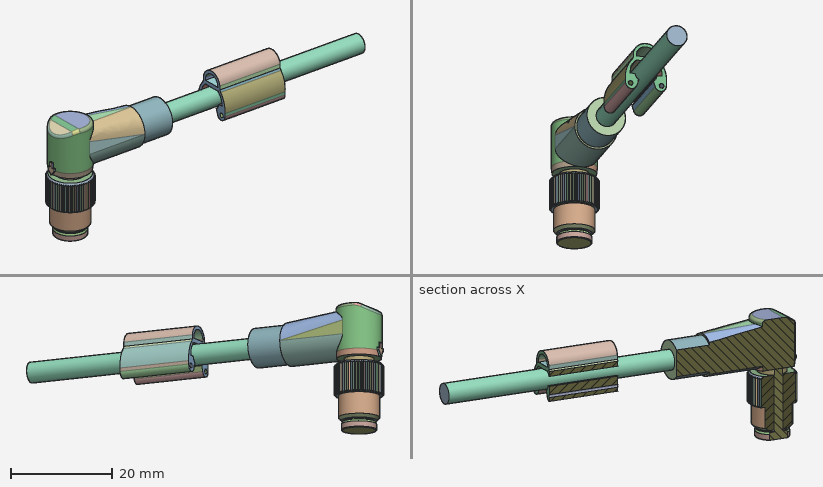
import cadquery as cq
import math


cable_radius = 2.1
knurl_diameter = 9.9
knurl_radius = knurl_diameter / 2
overall_length = 77.75
cable_end_y = overall_length - knurl_radius

elbow_radius = 4.6
elbow_top_z = 6.2
elbow_bottom_z = -4.35
elbow_bottom_radius = 4.4
taper_start_z = -3.2
top_fillet = 0.7
box_reach = 2 * elbow_top_z
slope_start_y = -0.9
slope_blend_radius = 2.8
slope_angle = math.radians(30)
grip_radius = -elbow_bottom_z
grip_end_y = 15.4
grip_elbow_top_z = 5.5
grip_elbow_corner = 2.4
grip_edge_flat = 0.015
sleeve_radius = 4.0
sleeve_end_y = 22.7

arrow_face_y = -4.9
arrow_top_z = -1.55
arrow_neck_z = -2.65
arrow_shoulder_z = -3.2
arrow_shaft_half = 0.4
arrow_head_half = 0.9
arrow_root_y = -3.1

knurl_depth = 0.2
knurl_teeth = 66
knurl_top_chamfer = 0.55
knurl_bottom_chamfer = 0.3
knurl_top_z = -5.45
knurl_bottom_z = -11.9
nut_sleeve_radius = 4.1
nut_sleeve_bottom_z = -16.9
nut_sleeve_chamfer = 0.6

neck_radius = 2.95
collar_top_z = -17.2
collar_edge_z = -17.65
collar_top_radius = 3.35
collar_radius = 3.5
collar_chamfer = 0.15
plug_height = 25.1
carrier_bottom_z = elbow_top_z - plug_height

clip_start_y = 35.7
clip_length = 15.25
lobe_half = 2.65
lobe_top_z = 5.75
lobe_side_z = 3.5
lobe_wall = 0.7
web_top_z = 2.95
arm_half = 4.2
clip_bottom_z = -4.0
foot_hole_radius = 0.5
foot_hole_center = (3.2, -2.8)

arm_root = (lobe_half - lobe_wall, cable_radius)
arm_lobe_corner = (lobe_half, 2.65)
arm_outer_start = (2.9, 2.2)
arm_outer_bulge = (3.8, 0.7)
arm_outer_end = (arm_half, -2.0)
foot_outer_edge = (arm_half, -2.7)
foot_bottom = (3.1, clip_bottom_z)
foot_inner_edge = (1.9, -3.1)
foot_tip_lower = (1.5, -1.95)
foot_tip_hollow = (2.0, -1.4)
foot_tip_upper = (2.25, -0.8)
arm_inner_start = (3.3, -0.7)
arm_inner_bulge = (3.0, 0.8)


def make_cable():
    length = cable_end_y - sleeve_end_y
    return cq.Workplane("XZ", origin=(0, sleeve_end_y, 0)).circle(cable_radius).extrude(-length)


def make_elbow():
    column = (
        cq.Workplane("XZ")
        .polyline([
            (0, elbow_bottom_z),
            (elbow_bottom_radius, elbow_bottom_z),
            (elbow_radius, taper_start_z),
            (elbow_radius, elbow_top_z),
            (0, elbow_top_z),
        ])
        .close()
        .revolve(360, (0, 0), (0, 1))
    )
    blend_end_y = slope_start_y - slope_blend_radius * math.sin(slope_angle)
    blend_end_z = elbow_top_z - slope_blend_radius * (1 - math.cos(slope_angle))
    blend_mid_y = slope_start_y - slope_blend_radius * math.sin(slope_angle / 2)
    blend_mid_z = elbow_top_z - slope_blend_radius * (1 - math.cos(slope_angle / 2))
    front_y = -2 * elbow_radius
    front_z = blend_end_z + (front_y - blend_end_y) * math.tan(slope_angle)
    slope = (
        cq.Workplane("YZ")
        .moveTo(slope_start_y, elbow_top_z)
        .threePointArc((blend_mid_y, blend_mid_z), (blend_end_y, blend_end_z))
        .lineTo(front_y, front_z)
        .lineTo(front_y, elbow_top_z)
        .close()
        .extrude(elbow_radius, both=True)
    )
    sloped = column.cut(slope)
    upper_half = cq.selectors.BoxSelector((-box_reach, -box_reach, 0), (box_reach, box_reach, box_reach))
    rim = sloped.edges(upper_half).edges("not |X").edges("not |Z")
    return rim.fillet(top_fillet)


def grip_section(y, top_z, corner):
    """Semicircle below Z = 0, upright sides and two rounded upper corners."""
    flat_half = grip_radius - corner
    side_z = top_z - corner
    diagonal = corner * math.sqrt(0.5)
    return (
        cq.Workplane("XZ", origin=(0, y, 0))
        .moveTo(grip_radius, 0)
        .lineTo(grip_radius, side_z)
        .threePointArc((flat_half + diagonal, side_z + diagonal), (flat_half, top_z))
        .lineTo(-flat_half, top_z)
        .threePointArc((-flat_half - diagonal, side_z + diagonal), (-grip_radius, side_z))
        .lineTo(-grip_radius, 0)
        .threePointArc((0, -grip_radius), (grip_radius, 0))
        .close()
        .wires()
        .val()
    )


def make_grip():
    at_elbow = grip_section(0, grip_elbow_top_z, grip_elbow_corner)
    at_cable = grip_section(grip_end_y, grip_radius, grip_radius - grip_edge_flat)
    return cq.Workplane(cq.Solid.makeLoft([at_elbow, at_cable], True))


def make_arrow():
    return (
        cq.Workplane("XZ", origin=(0, arrow_face_y, 0))
        .polyline([
            (-arrow_shaft_half, arrow_top_z),
            (arrow_shaft_half, arrow_top_z),
            (arrow_shaft_half, arrow_neck_z),
            (arrow_head_half, arrow_neck_z),
            (arrow_head_half, arrow_shoulder_z),
            (0, elbow_bottom_z),
            (-arrow_head_half, arrow_shoulder_z),
            (-arrow_head_half, arrow_neck_z),
            (-arrow_shaft_half, arrow_neck_z),
        ])
        .close()
        .extrude(arrow_face_y - arrow_root_y)
    )


def make_housing():
    sleeve_length = sleeve_end_y - grip_end_y
    sleeve = cq.Workplane("XZ", origin=(0, grip_end_y, 0)).circle(sleeve_radius).extrude(-sleeve_length)
    return make_elbow().union(make_grip()).union(make_arrow()).union(sleeve)


def make_knurled_ring():
    points = []
    for step in range(2 * knurl_teeth):
        angle = math.pi * step / knurl_teeth
        radius = knurl_radius - knurl_depth if step % 2 == 0 else knurl_radius
        points.append((radius * math.cos(angle), radius * math.sin(angle)))
    height = knurl_top_z - knurl_bottom_z
    base = cq.Workplane("XY", origin=(0, 0, knurl_bottom_z))
    envelope = base.circle(knurl_radius).extrude(height)
    envelope = envelope.faces(">Z").edges().chamfer(knurl_top_chamfer)
    envelope = envelope.faces("<Z").edges().chamfer(knurl_bottom_chamfer)
    return base.polyline(points).close().extrude(height).intersect(envelope)


def make_nut():
    sleeve = (
        cq.Workplane("XY", origin=(0, 0, nut_sleeve_bottom_z))
        .circle(nut_sleeve_radius)
        .extrude(knurl_bottom_z - nut_sleeve_bottom_z)
        .faces("<Z")
        .edges()
        .chamfer(nut_sleeve_chamfer)
    )
    bore = (
        cq.Workplane("XY", origin=(0, 0, nut_sleeve_bottom_z))
        .circle(neck_radius)
        .extrude(knurl_top_z - nut_sleeve_bottom_z)
    )
    return make_knurled_ring().union(sleeve).cut(bore)


def make_carrier():
    return (
        cq.Workplane("XZ")
        .polyline([
            (0, elbow_bottom_z),
            (neck_radius, elbow_bottom_z),
            (neck_radius, collar_top_z),
            (collar_top_radius, collar_top_z),
            (collar_radius, collar_edge_z),
            (collar_radius, carrier_bottom_z + collar_chamfer),
            (collar_radius - collar_chamfer, carrier_bottom_z),
            (0, carrier_bottom_z),
        ])
        .close()
        .revolve(360, (0, 0), (0, 1))
    )


def clip_plane():
    return cq.Workplane("XZ", origin=(0, clip_start_y, 0))


def lobe_block(half_width, bottom_z, top_z):
    """Arched bar: flat bottom, upright sides and a round top."""
    return (
        clip_plane()
        .moveTo(-half_width, bottom_z)
        .lineTo(-half_width, lobe_side_z)
        .threePointArc((0, top_z), (half_width, lobe_side_z))
        .lineTo(half_width, bottom_z)
        .close()
        .extrude(-clip_length)
    )


def clip_arm():
    """Arm on the +X side: it bows outward beside the cable and ends in a thick rounded foot."""
    return (
        clip_plane()
        .moveTo(*arm_root)
        .lineTo(lobe_half - lobe_wall, web_top_z)
        .lineTo(*arm_lobe_corner)
        .lineTo(*arm_outer_start)
        .threePointArc(arm_outer_bulge, arm_outer_end)
        .lineTo(*foot_outer_edge)
        .threePointArc(foot_bottom, foot_inner_edge)
        .lineTo(*foot_tip_lower)
        .threePointArc(foot_tip_hollow, foot_tip_upper)
        .lineTo(*arm_inner_start)
        .threePointArc(arm_inner_bulge, arm_root)
        .close()
        .pushPoints([foot_hole_center])
        .circle(foot_hole_radius)
        .extrude(-clip_length)
    )


def make_clip():
    lobe = lobe_block(lobe_half, cable_radius, lobe_top_z)
    label_slot = lobe_block(lobe_half - lobe_wall, web_top_z, lobe_top_z - lobe_wall)
    arm = clip_arm()
    return lobe.cut(label_slot).union(arm).union(arm.mirror("YZ"))


cable = make_cable()
housing = make_housing()
nut = make_nut()
carrier = make_carrier()
clip = make_clip()

result = cq.Compound.makeCompound([cable.val(), housing.val(), nut.val(), carrier.val(), clip.val()])